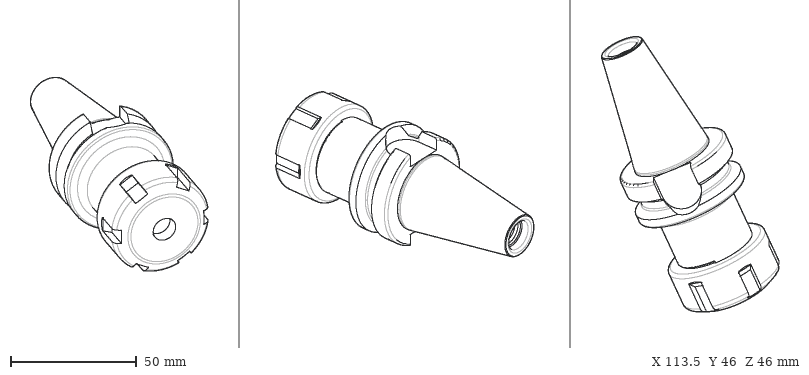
import cadquery as cq
import math

TOTAL_LENGTH = 113.5

SHANK_SMALL_RADIUS = 9.0
SHANK_LARGE_RADIUS = 16.0
SHANK_LENGTH = 48.9
SHANK_END_CHAMFER = 0.3
COLLAR_RADIUS = 16.1
COLLAR_STEP_X = 49.6

FLANGE_DIAMETER = 46.0
FLANGE_RADIUS = FLANGE_DIAMETER / 2
FLANGE_START_X = 50.3
FLANGE_END_X = 70.3
FLANGE_BACK_ROUND = 1.0
FLANGE_FRONT_ROUND = 0.8
GROOVE_FLOOR_RADIUS = 19.1
GROOVE_START_X = 58.0
GROOVE_END_X = 66.2
GROOVE_FLANK_ANGLE = 30.0
GROOVE_FILLET = 0.9

DRIVE_SLOT_HALF_WIDTH = 8.1
DRIVE_SLOT_END_X = 67.5
DRIVE_SLOT_FLOOR = 16.0

NECK_RADIUS = 16.0
NECK_FILLET = 3.0
RELIEF_WIDTH = 0.8
NOSE_RADIUS = 15.3
NOSE_END_X = 107.8

BORE_RADIUS = 4.9
PILOT_RADIUS = 6.2
PILOT_END_X = 4.2
SEAT_RADIUS = 5.8
SEAT_END_X = 5.9
MOUTH_ROUND = 1.0

NUT_RADIUS = 21.0
NUT_START_X = 93.4
NUT_BACK_ROUND = 1.4
NUT_FACE_RADIUS = 15.2
NUT_CONE_ANGLE = 30.0
NUT_FRONT_ROUND = 2.4

NUT_SLOT_COUNT = 6
NUT_TURN_ANGLE = 0.8
NUT_SLOT_WIDTH = 6.1
NUT_SLOT_FLOOR = 17.9
NUT_SLOT_START_X = 98.9
LONG_SLOT_EXTRA = 2.0
LEAD_LENGTH = 0.7
LEAD_DEPTH = 0.3

CUT_MARGIN = 1.1
MATCH_TOLERANCE = 0.01


def revolve_about_x(profile):
    """Turn a closed profile drawn as (x, radius) fully around the X axis."""
    return profile.close().revolve(360, (0, 0, 0), (1, 0, 0))


def round_rims(body, x, radius, size):
    """Round the full-circle edges of the given radius at the given x."""
    def is_rim(edge):
        box = edge.BoundingBox()
        at_x = max(abs(box.xmin - x), abs(box.xmax - x)) < MATCH_TOLERANCE
        if not at_x or edge.geomType() != "CIRCLE":
            return False
        return abs(edge.radius() - radius) < MATCH_TOLERANCE

    rims = [edge for edge in body.edges().vals() if is_rim(edge)]
    return body.newObject(rims).fillet(size)


def make_holder_blank():
    """Shank, grooved flange, neck and nose as one turned solid, bore included."""
    flank = (FLANGE_RADIUS - GROOVE_FLOOR_RADIUS) * math.tan(math.radians(GROOVE_FLANK_ANGLE))
    groove_floor_end = GROOVE_END_X - flank
    outline = (
        cq.Workplane("XY")
        .moveTo(0, PILOT_RADIUS)
        .lineTo(0, SHANK_SMALL_RADIUS - SHANK_END_CHAMFER)
        .lineTo(SHANK_END_CHAMFER, SHANK_SMALL_RADIUS)
        .lineTo(SHANK_LENGTH, SHANK_LARGE_RADIUS)
        .lineTo(COLLAR_STEP_X, COLLAR_RADIUS)
        .lineTo(FLANGE_START_X, COLLAR_RADIUS)
        .lineTo(FLANGE_START_X, FLANGE_RADIUS)
        .lineTo(GROOVE_START_X, FLANGE_RADIUS)
        .lineTo(GROOVE_START_X + flank, GROOVE_FLOOR_RADIUS)
        .lineTo(groove_floor_end, GROOVE_FLOOR_RADIUS)
        .lineTo(GROOVE_END_X, FLANGE_RADIUS)
        .lineTo(FLANGE_END_X, FLANGE_RADIUS)
        .lineTo(FLANGE_END_X, NECK_RADIUS)
        .lineTo(NUT_START_X, NECK_RADIUS)
        .lineTo(NUT_START_X, NOSE_RADIUS)
        .lineTo(NOSE_END_X, NOSE_RADIUS)
        .lineTo(NOSE_END_X, BORE_RADIUS)
        .lineTo(SEAT_END_X + SEAT_RADIUS - BORE_RADIUS, BORE_RADIUS)
        .lineTo(SEAT_END_X, SEAT_RADIUS)
        .lineTo(PILOT_END_X + PILOT_RADIUS - SEAT_RADIUS, SEAT_RADIUS)
        .lineTo(PILOT_END_X, PILOT_RADIUS)
    )
    blank = revolve_about_x(outline)
    blank = round_rims(blank, 0, PILOT_RADIUS, MOUTH_ROUND)
    blank = round_rims(blank, FLANGE_START_X, FLANGE_RADIUS, FLANGE_BACK_ROUND)
    blank = round_rims(blank, groove_floor_end, GROOVE_FLOOR_RADIUS, GROOVE_FILLET)
    blank = round_rims(blank, FLANGE_END_X, FLANGE_RADIUS, FLANGE_FRONT_ROUND)
    return round_rims(blank, FLANGE_END_X, NECK_RADIUS, NECK_FILLET)


def make_drive_slot():
    """Cutter for the top drive slot: open towards the shank, round at its other end."""
    arc_center_x = DRIVE_SLOT_END_X - DRIVE_SLOT_HALF_WIDTH
    return (
        cq.Workplane("XY", origin=(0, 0, DRIVE_SLOT_FLOOR))
        .moveTo(FLANGE_START_X, -DRIVE_SLOT_HALF_WIDTH)
        .lineTo(arc_center_x, -DRIVE_SLOT_HALF_WIDTH)
        .threePointArc((DRIVE_SLOT_END_X, 0), (arc_center_x, DRIVE_SLOT_HALF_WIDTH))
        .lineTo(FLANGE_START_X, DRIVE_SLOT_HALF_WIDTH)
        .close()
        .extrude(FLANGE_RADIUS - DRIVE_SLOT_FLOOR + CUT_MARGIN)
    )


def make_neck_relief():
    """Half-ring cutter that thins the +Y half of the neck just behind the nut."""
    return (
        cq.Workplane("XY")
        .moveTo(NUT_START_X - RELIEF_WIDTH, NOSE_RADIUS)
        .lineTo(NUT_START_X, NOSE_RADIUS)
        .lineTo(NUT_START_X, NECK_RADIUS + CUT_MARGIN)
        .lineTo(NUT_START_X - RELIEF_WIDTH, NECK_RADIUS + CUT_MARGIN)
        .close()
        .revolve(180, (0, 0, 0), (1, 0, 0))
        .rotate((0, 0, 0), (1, 0, 0), -90)
    )


def make_holder():
    """Turned blank with two drive slots and the half relief of the neck."""
    holder = make_holder_blank()
    for angle in (0, 180):
        holder = holder.cut(make_drive_slot().rotate((0, 0, 0), (1, 0, 0), angle))
    return holder.cut(make_neck_relief())


def make_nut_blank():
    """Turned nut: rounded back edge, conical front, recess that fits the nose."""
    cone_length = (NUT_RADIUS - NUT_FACE_RADIUS) * math.tan(math.radians(NUT_CONE_ANGLE))
    cone_start_x = TOTAL_LENGTH - cone_length
    outline = (
        cq.Workplane("XY")
        .moveTo(NUT_START_X, NOSE_RADIUS)
        .lineTo(NUT_START_X, NUT_RADIUS)
        .lineTo(cone_start_x, NUT_RADIUS)
        .lineTo(TOTAL_LENGTH, NUT_FACE_RADIUS)
        .lineTo(TOTAL_LENGTH, BORE_RADIUS)
        .lineTo(NOSE_END_X, BORE_RADIUS)
        .lineTo(NOSE_END_X, NOSE_RADIUS)
    )
    blank = revolve_about_x(outline)
    blank = round_rims(blank, NUT_START_X, NUT_RADIUS, NUT_BACK_ROUND)
    blank = round_rims(blank, cone_start_x, NUT_RADIUS, NUT_FRONT_ROUND)
    return round_rims(blank, TOTAL_LENGTH, NUT_FACE_RADIUS, NUT_FRONT_ROUND)


def make_nut_slot(start_x):
    """Cutter for the slot facing +Y: a short lead, a 45 degree ramp, a flat floor."""
    ramp_top = NUT_RADIUS - LEAD_DEPTH
    ramp_start_x = start_x + LEAD_LENGTH
    floor_start_x = ramp_start_x + ramp_top - NUT_SLOT_FLOOR
    return (
        cq.Workplane("XY")
        .moveTo(start_x, NUT_RADIUS)
        .lineTo(ramp_start_x, ramp_top)
        .lineTo(floor_start_x, NUT_SLOT_FLOOR)
        .lineTo(TOTAL_LENGTH + CUT_MARGIN, NUT_SLOT_FLOOR)
        .lineTo(TOTAL_LENGTH + CUT_MARGIN, NUT_RADIUS + CUT_MARGIN)
        .lineTo(start_x, NUT_RADIUS + CUT_MARGIN)
        .close()
        .extrude(NUT_SLOT_WIDTH / 2, both=True)
    )


def make_nut():
    """Nut with six spanner slots, longer on the +Y half, turned slightly as tightened."""
    nut = make_nut_blank()
    for index in range(NUT_SLOT_COUNT):
        angle = index * 360 / NUT_SLOT_COUNT
        faces_plus_y = math.cos(math.radians(angle)) > 0
        start_x = NUT_SLOT_START_X - (LONG_SLOT_EXTRA if faces_plus_y else 0)
        nut = nut.cut(make_nut_slot(start_x).rotate((0, 0, 0), (1, 0, 0), angle))
    return nut.rotate((0, 0, 0), (1, 0, 0), NUT_TURN_ANGLE)


holder = make_holder()
nut = make_nut()

result = cq.Compound.makeCompound([holder.val(), nut.val()])